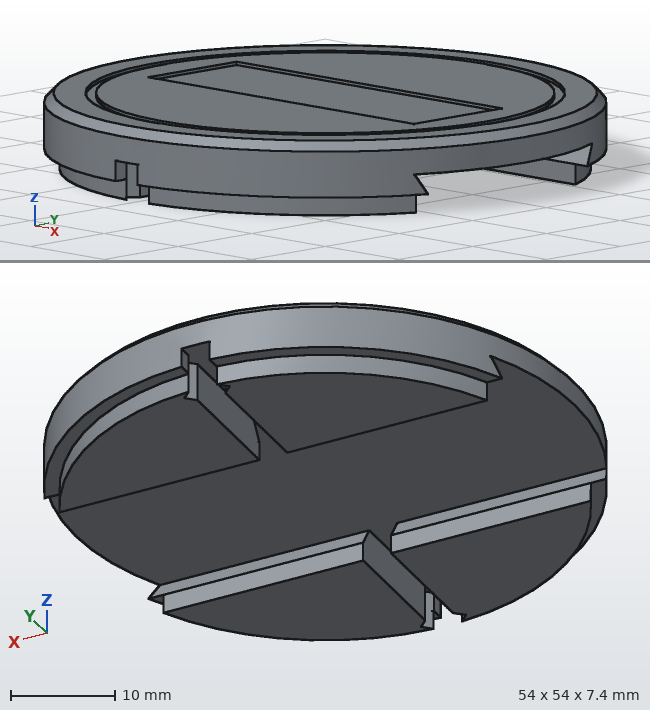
import cadquery as cq

outer_diameter = 54.0
height = 7.4
rim_chamfer = 0.9
foot_diameter = 51.05
foot_height = 2.0

channel_height = 2 * foot_height
channel_mouth_width = 21.6
channel_roof_width = 24.1
slot_width = 3.0

diamond_half_diagonal = 2.45

recess_depth = 0.3
groove_outer_diameter = 46.0
groove_inner_diameter = 44.0
panel_length = 36.0
panel_width = 12.0


def make_body():
    """Chamfered disc standing on a slightly smaller foot."""
    foot = cq.Workplane("XY").circle(foot_diameter / 2).extrude(foot_height)
    disc = (
        cq.Workplane("XY")
        .workplane(offset=foot_height)
        .circle(outer_diameter / 2)
        .extrude(height - foot_height)
        .faces(">Z")
        .edges()
        .chamfer(rim_chamfer)
    )
    return disc.union(foot)


def make_channel():
    """Straight-sided through the foot, then flaring up to a flat roof."""
    mouth = channel_mouth_width / 2
    roof = channel_roof_width / 2
    return (
        cq.Workplane("YZ")
        .polyline([
            (-mouth, 0),
            (mouth, 0),
            (mouth, foot_height),
            (roof, channel_height),
            (-roof, channel_height),
            (-mouth, foot_height),
        ])
        .close()
        .extrude(outer_diameter / 2, both=True)
    )


def make_slot():
    """Slot across the full diameter with a 45 degree diamond pocket at each end."""
    slot = cq.Workplane("XY").rect(slot_width, outer_diameter).extrude(channel_height)
    diamond_center = outer_diameter / 2 - diamond_half_diagonal
    diamonds = (
        cq.Workplane("XY")
        .pushPoints([(0, -diamond_center), (0, diamond_center)])
        .polygon(4, 2 * diamond_half_diagonal)
        .extrude(channel_height)
    )
    return slot.union(diamonds)


def make_top_recesses():
    top = cq.Workplane("XY").workplane(offset=height)
    groove = (
        top.circle(groove_outer_diameter / 2)
        .circle(groove_inner_diameter / 2)
        .extrude(-recess_depth)
    )
    panel = top.rect(panel_length, panel_width).extrude(-recess_depth)
    return groove.union(panel)


result = make_body().cut(make_channel()).cut(make_slot()).cut(make_top_recesses())